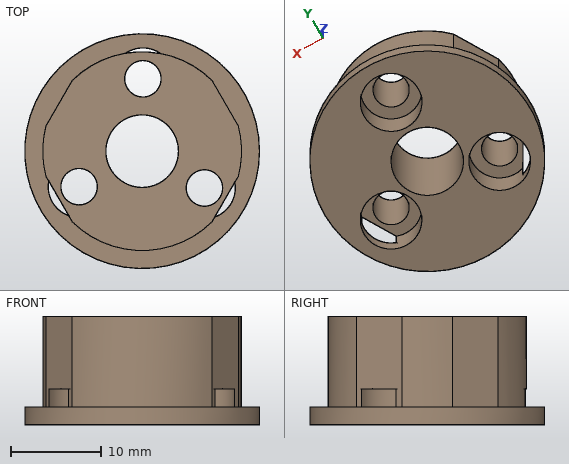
import cadquery as cq
import math

flange_diameter = 26.0
flange_thickness = 2.0
total_height = 12.0
body_diameter = 22.0

flat_distance = 10.6
flat_angles = (30, 150, 210, 330)

bore_diameter = 8.0
bolt_diameter = 4.0
bolt_circle_radius = 8.0
bolt_count = 3
first_bolt_angle = 89.4
counterbore_diameter = 6.8
counterbore_depth = 2 * flange_thickness


def make_body():
    """Cylinder with flats cut parallel to its axis."""
    body = cq.Workplane("XY").circle(body_diameter / 2).extrude(total_height)
    for angle in flat_angles:
        outside_flat = (
            cq.Workplane("XY")
            .box(body_diameter, body_diameter, total_height, centered=(False, True, False))
            .translate((flat_distance, 0, 0))
            .rotate((0, 0, 0), (0, 0, 1), angle)
        )
        body = body.cut(outside_flat)
    return body


def bolt_positions():
    """Centres of the evenly spaced bolt holes."""
    angles = [math.radians(first_bolt_angle + i * 360 / bolt_count) for i in range(bolt_count)]
    return [(bolt_circle_radius * math.cos(a), bolt_circle_radius * math.sin(a)) for a in angles]


def drill(part, centers, diameter, depth):
    """Cut round holes upward from the bottom face."""
    holes = cq.Workplane("XY").pushPoints(centers).circle(diameter / 2).extrude(depth)
    return part.cut(holes)


flange = cq.Workplane("XY").circle(flange_diameter / 2).extrude(flange_thickness)
result = flange.union(make_body())
result = drill(result, [(0, 0)], bore_diameter, total_height)
result = drill(result, bolt_positions(), bolt_diameter, total_height)
result = drill(result, bolt_positions(), counterbore_diameter, counterbore_depth)